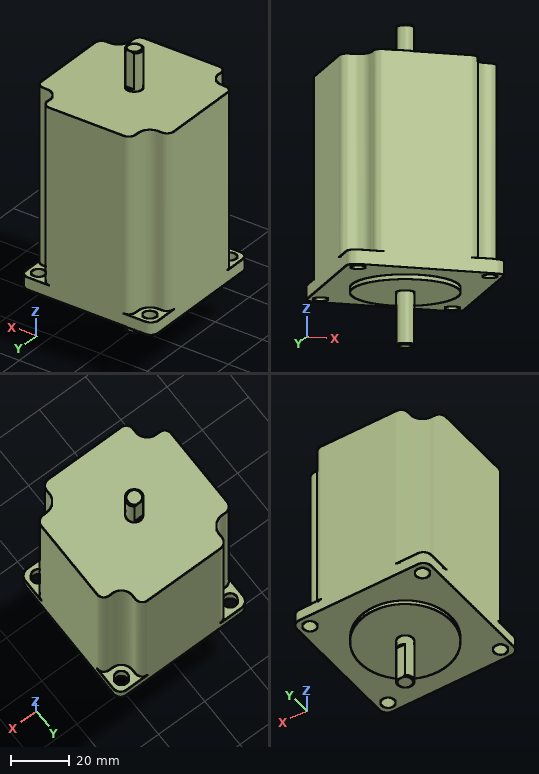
import cadquery as cq

width = 56.3
total_height = 113.6

pilot_bottom = 19.1
pilot_height = 1.7
flange_thickness = 5.1
body_top = 97.7
flange_bottom = pilot_bottom + pilot_height
flange_top = flange_bottom + flange_thickness

flange_corner_radius = 3.3
hole_pitch = 47.1
hole_diameter = 5.2
pilot_diameter = 38.0

recess_depth = 9.4
recess_inner_radius = 4.9
recess_edge_radius = 3.0

shaft_diameter = 6.4
shaft_chamfer = 0.5
flat_offset = 2.6
flat_length = 15.0


def make_flange():
    plate = (
        cq.Workplane("XY", origin=(0, 0, flange_bottom))
        .rect(width, width)
        .extrude(flange_thickness)
        .edges("|Z")
        .fillet(flange_corner_radius)
    )
    return (
        plate.faces(">Z")
        .workplane()
        .rect(hole_pitch, hole_pitch, forConstruction=True)
        .vertices()
        .hole(hole_diameter)
    )


def make_body():
    """Square body with a square notch in each corner, all notch edges rounded."""
    arm_half_width = width / 2 - recess_depth
    height = body_top - flange_top
    base = cq.Workplane("XY", origin=(0, 0, flange_top))
    along_x = base.rect(width, 2 * arm_half_width).extrude(height)
    along_y = base.rect(2 * arm_half_width, width).extrude(height)
    body = along_x.union(along_y)

    reach = arm_half_width + recess_depth / 2
    inner_edges = cq.selectors.BoxSelector(
        (-reach, -reach, 0), (reach, reach, total_height)
    )
    body = body.edges("|Z").edges(inner_edges).fillet(recess_inner_radius)
    return body.edges("|Z and (<X or >X or <Y or >Y)").fillet(recess_edge_radius)


def make_shaft():
    shaft = (
        cq.Workplane("XY")
        .circle(shaft_diameter / 2)
        .extrude(total_height)
        .faces("<Z or >Z")
        .chamfer(shaft_chamfer)
    )
    for flat_bottom in (0, total_height - flat_length):
        flat_cut = (
            cq.Workplane("XY", origin=(0, flat_offset, flat_bottom))
            .box(shaft_diameter, shaft_diameter, flat_length, centered=(True, False, False))
        )
        shaft = shaft.cut(flat_cut)
    return shaft


pilot = (
    cq.Workplane("XY", origin=(0, 0, pilot_bottom))
    .circle(pilot_diameter / 2)
    .extrude(pilot_height)
)

result = make_flange().union(make_body()).union(pilot).union(make_shaft())